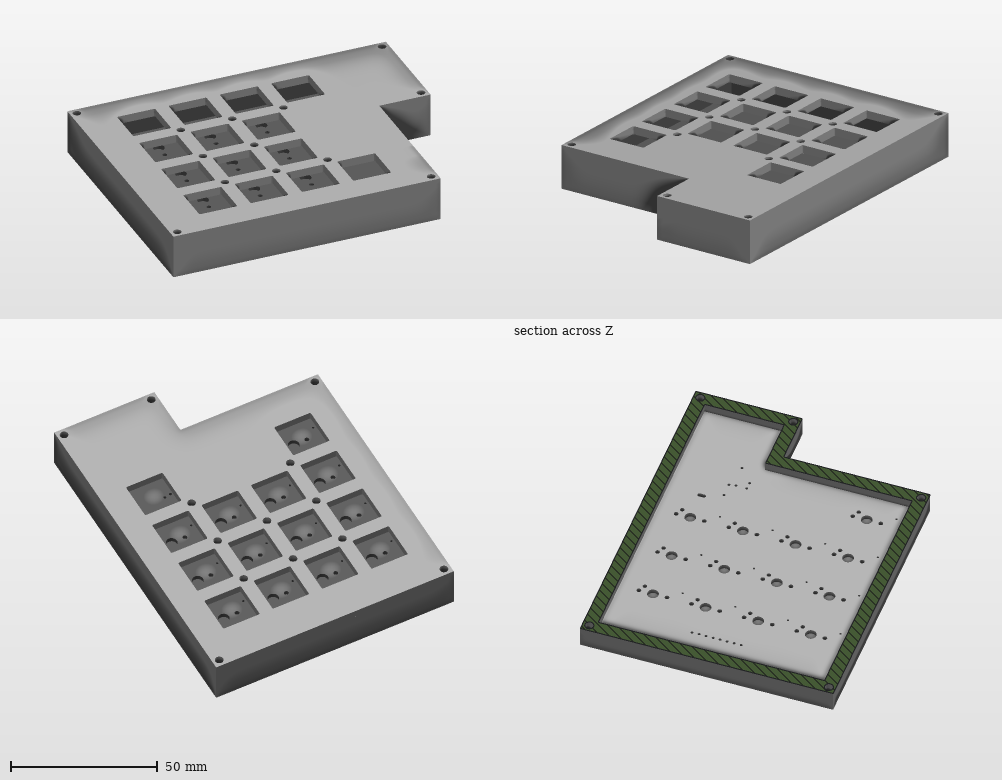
import cadquery as cq

WIDTH = 91.5
LENGTH = 118.0
HEIGHT = 16.0

NOTCH_X = -7.2
NOTCH_Y = 40.0

PLATE_THICKNESS = 3.0
FLOOR_THICKNESS = 3.0
BOARD_THICKNESS = 1.7

SCREW_DIAMETER = 3.0
SCREW_INSET = 2.5
WALL_THICKNESS = 2 * SCREW_INSET

KEY_PITCH = 19.0
KEY_COUNT = 4
GRID_CENTER_Y = -9.4
CUTOUT_SIZE = 14.0
CUTOUT_CORNER_RADIUS = 0.5
ENCODER_CELL = (0, 0)
EMPTY_CELLS = [(1, 0), (2, 0)]

SWITCH_SHIFT_X = -0.2
SWITCH_SHIFT_Y = 5.5
STEM_DIAMETER = 4.0
PEG_DIAMETER = 1.7
PEG_OFFSET = 5.1
PIN_DIAMETER = 1.5
PIN_OFFSET = (-3.8, 2.5)
LEAD_DIAMETER = 0.79
LEAD_OFFSET = (9.4, 3.7)

ENCODER_SHIFT_Y = 2.8
ENCODER_HOLE_DIAMETER = 1.0
ENCODER_PIN_X = 7.1
ENCODER_PIN_SPACING = 5.1
ENCODER_LEADS = [(8.6, 11.5), (13.5, 5.5), (13.3, 3.0), (9.4, 3.0)]
TAB_SLOT_LENGTH = 3.1
TAB_SLOT_WIDTH = 1.4
TAB_SLOT_Y = -5.3

HEADER_HOLES = 8
HEADER_PITCH = 2.54
HEADER_DIAMETER = 1.0
HEADER_CENTER_X = -1.3
HEADER_Y = -45.0

top_z = HEIGHT / 2
bottom_z = -HEIGHT / 2
plate_bottom_z = top_z - PLATE_THICKNESS
floor_z = bottom_z + FLOOR_THICKNESS
board_top_z = floor_z + BOARD_THICKNESS


def notched_outline(inset):
    """Corners of the L-shaped outline, moved inwards by inset."""
    left = -WIDTH / 2 + inset
    right = WIDTH / 2 - inset
    front = -LENGTH / 2 + inset
    back = LENGTH / 2 - inset
    notch_x = NOTCH_X - inset
    notch_y = NOTCH_Y - inset
    return [
        (left, front),
        (right, front),
        (right, notch_y),
        (notch_x, notch_y),
        (notch_x, back),
        (left, back),
    ]


def notched_slab(inset, low_z, high_z):
    """Flat L-shaped slab between two levels."""
    base = cq.Workplane("XY").workplane(offset=low_z)
    return base.polyline(notched_outline(inset)).close().extrude(high_z - low_z)


def drills(centers, diameter):
    """Full-height cylinders that cut round through holes."""
    base = cq.Workplane("XY").workplane(offset=bottom_z)
    return base.pushPoints(centers).circle(diameter / 2).extrude(HEIGHT)


def shifted(centers, dx, dy):
    return [(x + dx, y + dy) for x, y in centers]


def centered_steps(count, pitch):
    """Evenly spaced positions, centred on zero."""
    return [(i - (count - 1) / 2) * pitch for i in range(count)]


def cell_center(column, row):
    steps = centered_steps(KEY_COUNT, KEY_PITCH)
    return (steps[column], GRID_CENTER_Y - steps[row])


def corner_screw_centers():
    """One screw near each outside corner; the notch's inside corner has none."""
    inside_corner = (NOTCH_X - SCREW_INSET, NOTCH_Y - SCREW_INSET)
    return [point for point in notched_outline(SCREW_INSET) if point != inside_corner]


def grid_screw_centers():
    """Screws where four cells meet, except beside both empty cells."""
    steps = centered_steps(KEY_COUNT - 1, KEY_PITCH)
    centers = [(x, GRID_CENTER_Y + y) for x in steps for y in steps]
    return [center for center in centers if center != (0, GRID_CENTER_Y + KEY_PITCH)]


all_cells = [(column, row) for column in range(KEY_COUNT) for row in range(KEY_COUNT)]
cutout_cells = [cell for cell in all_cells if cell not in EMPTY_CELLS]
switch_cells = [cell for cell in cutout_cells if cell != ENCODER_CELL]


def make_plate():
    """Top plate with key cutouts and screw holes."""
    plate = notched_slab(0, plate_bottom_z, top_z)
    cutouts = (
        cq.Workplane("XY")
        .workplane(offset=plate_bottom_z)
        .pushPoints([cell_center(*cell) for cell in cutout_cells])
        .rect(CUTOUT_SIZE, CUTOUT_SIZE)
        .extrude(PLATE_THICKNESS)
        .edges("|Z")
        .fillet(CUTOUT_CORNER_RADIUS)
    )
    screws = drills(corner_screw_centers() + grid_screw_centers(), SCREW_DIAMETER)
    return plate.cut(cutouts).cut(screws)


def make_housing():
    """Open-topped tray with corner screw holes through its wall."""
    block = notched_slab(0, bottom_z, plate_bottom_z)
    cavity = notched_slab(WALL_THICKNESS, floor_z, plate_bottom_z)
    return block.cut(cavity).cut(drills(corner_screw_centers(), SCREW_DIAMETER))


def cut_switch_holes(board):
    switches = shifted([cell_center(*cell) for cell in switch_cells], SWITCH_SHIFT_X, SWITCH_SHIFT_Y)
    pegs = shifted(switches, -PEG_OFFSET, 0) + shifted(switches, PEG_OFFSET, 0)
    board = board.cut(drills(switches, STEM_DIAMETER))
    board = board.cut(drills(pegs, PEG_DIAMETER))
    board = board.cut(drills(shifted(switches, *PIN_OFFSET), PIN_DIAMETER))
    return board.cut(drills(shifted(switches, *LEAD_OFFSET), LEAD_DIAMETER))


def cut_encoder_holes(board):
    cell_x, cell_y = cell_center(*ENCODER_CELL)
    center_y = cell_y + ENCODER_SHIFT_Y
    pins = [(ENCODER_PIN_X, y) for y in centered_steps(2, ENCODER_PIN_SPACING)]
    tab_slot = (
        cq.Workplane("XY")
        .workplane(offset=bottom_z)
        .center(cell_x, center_y + TAB_SLOT_Y)
        .slot2D(TAB_SLOT_LENGTH, TAB_SLOT_WIDTH)
        .extrude(HEIGHT)
    )
    board = board.cut(tab_slot)
    return board.cut(drills(shifted(pins + ENCODER_LEADS, cell_x, center_y), ENCODER_HOLE_DIAMETER))


def cut_header_holes(board):
    holes = [(HEADER_CENTER_X + x, HEADER_Y) for x in centered_steps(HEADER_HOLES, HEADER_PITCH)]
    return board.cut(drills(holes, HEADER_DIAMETER))


def make_board():
    """Circuit board that fills the tray and rests on its floor."""
    board = notched_slab(WALL_THICKNESS, floor_z, board_top_z)
    return cut_header_holes(cut_encoder_holes(cut_switch_holes(board)))


plate = make_plate()
housing = make_housing()
board = make_board()

result = cq.Compound.makeCompound([plate.val(), housing.val(), board.val()])